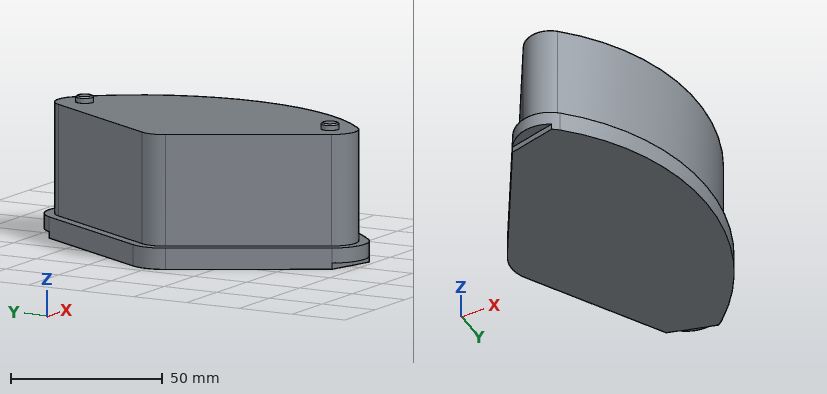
import cadquery as cq
import math

LENGTH_X = 72.7
LENGTH_Y = 119.6
HEIGHT = 46.8
FLANK_ANGLE = 30.0

FLANGE_TOP = 7.2
BODY_TOP = 44.6
RELIEF_HEIGHT = 2.2

BODY_CORNER_RADIUS = 9.0
FLANGE_OVERHANG = 3.5
FLANGE_CORNER_RADIUS = BODY_CORNER_RADIUS + FLANGE_OVERHANG

PIN_RADIUS = 3.0
PIN_CHAMFER_WIDTH = 0.6
PIN_CHAMFER_HEIGHT = 0.5
PIN_X = 27.7
PIN_Y = 46.5

CORNER_Y = LENGTH_Y / 2 - FLANGE_CORNER_RADIUS
CORNER_X = CORNER_Y * math.tan(math.radians(FLANK_ANGLE))

FRONT_X = LENGTH_X - FLANGE_CORNER_RADIUS
FRONT_GAP = FRONT_X - FLANGE_CORNER_RADIUS - CORNER_X
CENTRE_DISTANCE = (CORNER_Y**2 + FRONT_GAP**2) / (2 * FRONT_GAP)
ARC_CENTRE_X = CORNER_X + FRONT_GAP - CENTRE_DISTANCE
ARC_TANGENT_ANGLE = math.degrees(math.atan2(CORNER_Y, CORNER_X - ARC_CENTRE_X))

FLANK_NORMAL_ANGLE = 180.0 - FLANK_ANGLE
RELIEF_SWEEP = 90.0


def polar(centre, radius, angle):
    """Point on a circle, with the angle in degrees from +X."""
    turn = math.radians(angle)
    return (centre[0] + radius * math.cos(turn), centre[1] + radius * math.sin(turn))


def mirrored(point):
    return (point[0], -point[1])


def fan_prism(corner_radius, bottom, top):
    """Solid fan whose three corners have the given radius about the shared centres."""
    corner = (CORNER_X, CORNER_Y)
    apex_end = polar((0, 0), corner_radius, FLANK_NORMAL_ANGLE)
    flank_end = polar(corner, corner_radius, FLANK_NORMAL_ANGLE)
    corner_middle = polar(corner, corner_radius, (FLANK_NORMAL_ANGLE + ARC_TANGENT_ANGLE) / 2)
    arc_start = polar(corner, corner_radius, ARC_TANGENT_ANGLE)
    arc_middle = (ARC_CENTRE_X + CENTRE_DISTANCE + corner_radius, 0)
    return (
        cq.Workplane("XY", origin=(0, 0, bottom))
        .moveTo(*apex_end)
        .lineTo(*flank_end)
        .threePointArc(corner_middle, arc_start)
        .threePointArc(arc_middle, mirrored(arc_start))
        .threePointArc(mirrored(corner_middle), mirrored(flank_end))
        .lineTo(*mirrored(apex_end))
        .threePointArc((-corner_radius, 0), apex_end)
        .close()
        .extrude(top - bottom)
    )


def corner_relief():
    """Segment between the +Y flange corner arc and its chord, at the underside."""
    corner = (CORNER_X, CORNER_Y)
    start = polar(corner, FLANGE_CORNER_RADIUS, FLANK_NORMAL_ANGLE)
    middle = polar(corner, FLANGE_CORNER_RADIUS, FLANK_NORMAL_ANGLE - RELIEF_SWEEP / 2)
    end = polar(corner, FLANGE_CORNER_RADIUS, FLANK_NORMAL_ANGLE - RELIEF_SWEEP)
    return (
        cq.Workplane("XY")
        .moveTo(*start)
        .threePointArc(middle, end)
        .close()
        .extrude(RELIEF_HEIGHT)
    )


def pin(y):
    """Short pin on the top face with a chamfered end."""
    return (
        cq.Workplane("XY", origin=(PIN_X, y, BODY_TOP))
        .circle(PIN_RADIUS)
        .extrude(HEIGHT - BODY_TOP)
        .faces(">Z")
        .edges()
        .chamfer(PIN_CHAMFER_HEIGHT, PIN_CHAMFER_WIDTH)
    )


flange = fan_prism(FLANGE_CORNER_RADIUS, 0, FLANGE_TOP)
relief = corner_relief()
flange = flange.cut(relief).cut(relief.mirror("XZ"))

result = flange.union(fan_prism(BODY_CORNER_RADIUS, FLANGE_TOP, BODY_TOP))
for side in (-1, 1):
    result = result.union(pin(side * PIN_Y))